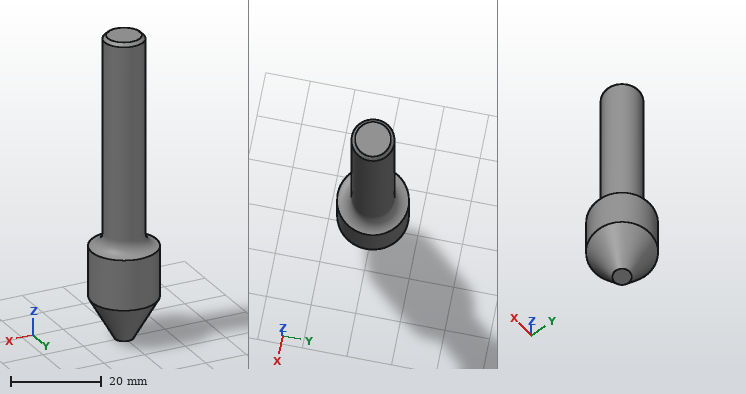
import cadquery as cq

total_length = 73.15
body_radius = 15.9 / 2
shank_radius = 9.5 / 2

tip_length = 10.1
tip_end_radius = 2.1

body_length = 12.15
flare_radius = body_radius - shank_radius
end_chamfer = 0.8


def make_tip():
    """Conical tip with a flat end at Z = 0, widening to the body radius."""
    return (
        cq.Workplane("XZ")
        .lineTo(tip_end_radius, 0)
        .lineTo(body_radius, tip_length)
        .lineTo(0, tip_length)
        .close()
        .revolve(360, (0, 0), (0, 1))
    )


def make_holder():
    """Cylindrical body on top of the tip, narrowing through a quarter-circle flare to the shank."""
    body_top = tip_length + body_length
    flare_top = body_top + flare_radius
    diagonal_offset = flare_radius * 0.5**0.5
    flare_middle = (body_radius - diagonal_offset, flare_top - diagonal_offset)
    return (
        cq.Workplane("XZ")
        .moveTo(0, tip_length)
        .lineTo(body_radius, tip_length)
        .lineTo(body_radius, body_top)
        .threePointArc(flare_middle, (shank_radius, flare_top))
        .lineTo(shank_radius, total_length - end_chamfer)
        .lineTo(shank_radius - end_chamfer, total_length)
        .lineTo(0, total_length)
        .close()
        .revolve(360, (0, 0), (0, 1))
    )


tip = make_tip()
holder = make_holder()

result = cq.Compound.makeCompound([tip.val(), holder.val()])